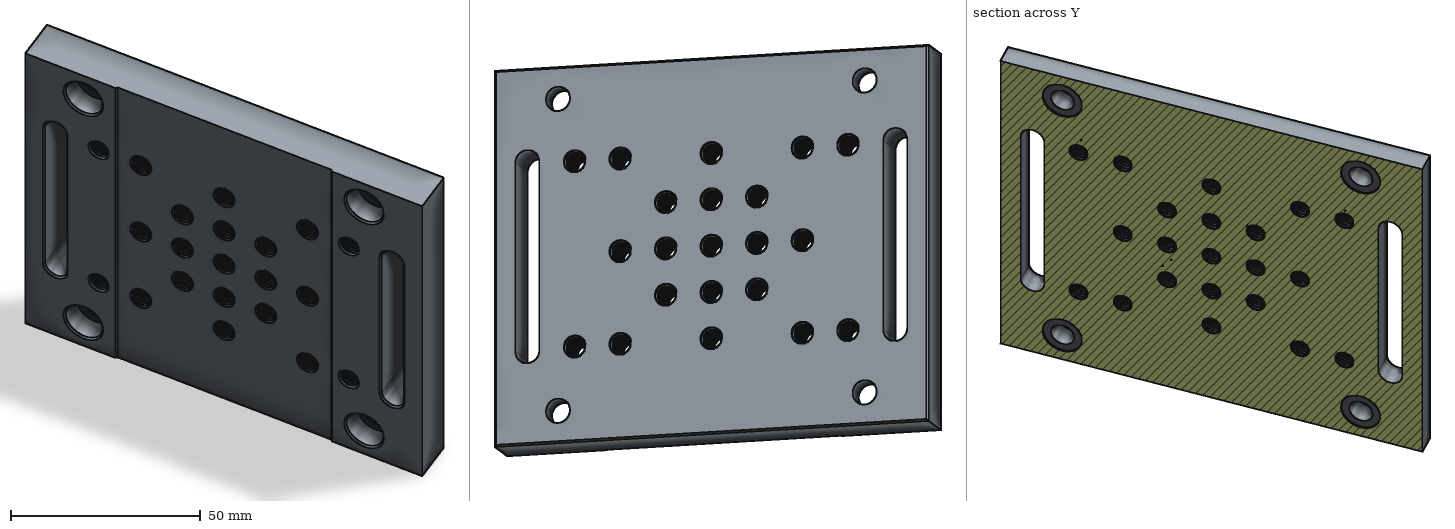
import cadquery as cq
import math

LENGTH = 119.0
HEIGHT = 101.5
THICKNESS = 12.5
BACK_CHAMFER = 0.5
FRONT = -THICKNESS / 2
BACK = THICKNESS / 2

RIM_BEVEL = 0.5

CHANNEL_FLOOR_WIDTH = 64.0
CHANNEL_DEPTH = 0.5
CHANNEL_TOP_WIDTH = CHANNEL_FLOOR_WIDTH + 2 * CHANNEL_DEPTH

MOUNT_SPACING = 84.1
MOUNT_DIAMETER = 6.5
COUNTERBORE_DIAMETER = 11.0
COUNTERBORE_DEPTH = 6.5

SLOT_SPACING = 100.9
SLOT_WIDTH = 6.5
SLOT_LENGTH = 57.5

GRID_STEP = 12.5
THREAD_MINOR_RADIUS = 2.5
THREAD_MAJOR_RADIUS = 3.0
THREAD_PITCH = 1.0
THREAD_FLANK_ANGLE = 30
THREAD_TURNS = int(THICKNESS / THREAD_PITCH)

COLLAR_RADIUS = 3.1
COUNTERSINK_RADIUS = 3.1


def face_plane(y):
    """Sketch plane parallel to the front face; extruding from it heads toward -Y."""
    return cq.Workplane("XZ", origin=(0, y, 0))


def grid_points(steps):
    """Turn whole grid steps into X, Z positions."""
    return [(column * GRID_STEP, row * GRID_STEP) for column, row in steps]


def turned_around_y(profile):
    """Revolve an outline of (radius, Y) points into a solid around the Y axis."""
    return cq.Workplane("XY").polyline(profile).close().revolve(360, (0, 0, 0), (0, 1, 0))


def make_plate():
    """Block with a chamfered back edge and the channel cut along its height."""
    plate = cq.Workplane("XY").box(LENGTH, THICKNESS, HEIGHT)
    plate = plate.faces(">Y").chamfer(BACK_CHAMFER)
    channel = (
        cq.Workplane("XY")
        .polyline(
            [
                (-CHANNEL_TOP_WIDTH / 2, FRONT),
                (CHANNEL_TOP_WIDTH / 2, FRONT),
                (CHANNEL_FLOOR_WIDTH / 2, FRONT + CHANNEL_DEPTH),
                (-CHANNEL_FLOOR_WIDTH / 2, FRONT + CHANNEL_DEPTH),
            ]
        )
        .close()
        .extrude(HEIGHT / 2, both=True)
    )
    return plate.cut(channel)


def mounting_hole_cutter():
    """Through hole, counterbore and beveled rim, as one turned profile around Y."""
    hole_radius = MOUNT_DIAMETER / 2
    bore_radius = COUNTERBORE_DIAMETER / 2
    bore_floor = FRONT + COUNTERBORE_DEPTH
    profile = [
        (0, FRONT),
        (bore_radius + RIM_BEVEL, FRONT),
        (bore_radius, FRONT + RIM_BEVEL),
        (bore_radius, bore_floor),
        (hole_radius, bore_floor),
        (hole_radius, BACK),
        (0, BACK),
    ]
    return turned_around_y(profile)


def slot_cutter():
    """Through slot whose front rim flares outward by the bevel."""
    slot = face_plane(BACK).slot2D(SLOT_LENGTH, SLOT_WIDTH, 90).extrude(THICKNESS)
    rim = (
        face_plane(FRONT)
        .slot2D(SLOT_LENGTH + 2 * RIM_BEVEL, SLOT_WIDTH + 2 * RIM_BEVEL, 90)
        .extrude(-RIM_BEVEL, taper=45)
    )
    return slot.union(rim)


def thread_cutter():
    """Bore ringed by flat-bottomed V grooves, one per thread pitch, starting wide at the front."""
    thread_depth = THREAD_MAJOR_RADIUS - THREAD_MINOR_RADIUS
    flank = thread_depth * math.tan(math.radians(THREAD_FLANK_ANGLE))
    flat = THREAD_PITCH / 2 - flank
    profile = [(0, FRONT), (THREAD_MAJOR_RADIUS, FRONT)]
    for turn in range(THREAD_TURNS):
        crest_start = FRONT + turn * THREAD_PITCH + flank
        crest_end = crest_start + flat
        root_start = crest_end + flank
        profile += [
            (THREAD_MINOR_RADIUS, crest_start),
            (THREAD_MINOR_RADIUS, crest_end),
            (THREAD_MAJOR_RADIUS, root_start),
            (THREAD_MAJOR_RADIUS, root_start + flat),
        ]
    profile += [(THREAD_MAJOR_RADIUS, BACK), (0, BACK)]
    return turned_around_y(profile)


def countersink_cutter():
    """Cone of 45 degrees that opens the mouth of a thread."""
    cone_depth = COUNTERSINK_RADIUS - THREAD_MINOR_RADIUS
    profile = [
        (0, FRONT),
        (COUNTERSINK_RADIUS, FRONT),
        (THREAD_MINOR_RADIUS, FRONT + cone_depth),
        (0, FRONT + cone_depth),
    ]
    return turned_around_y(profile)


def cut_at(body, cutter, points):
    """Cut a copy of the cutter, modelled on the Y axis, at each X, Z position."""
    for x, z in points:
        body = body.cut(cutter.translate((x, 0, z)))
    return body


signs = [(side, level) for side in (-1, 1) for level in (-1, 1)]

inner_steps = [(column, row) for column in (-1, 0, 1) for row in (-1, 0, 1)]
ring_steps = [(2 * column, 2 * row) for column, row in inner_steps if (column, row) != (0, 0)]
channel_points = grid_points(inner_steps + ring_steps)

side_points = grid_points([(3 * side, 2 * level) for side, level in signs])

mount_points = [(side * MOUNT_SPACING / 2, level * MOUNT_SPACING / 2) for side, level in signs]
slot_points = [(side * SLOT_SPACING / 2, 0) for side in (-1, 1)]

plate = make_plate()

collars = (
    face_plane(FRONT + CHANNEL_DEPTH)
    .pushPoints(channel_points)
    .circle(COLLAR_RADIUS)
    .extrude(CHANNEL_DEPTH)
)
plate = plate.union(collars)

plate = cut_at(plate, mounting_hole_cutter(), mount_points)
plate = cut_at(plate, slot_cutter(), slot_points)
plate = cut_at(plate, thread_cutter(), channel_points + side_points)
plate = cut_at(plate, countersink_cutter(), side_points)

result = plate